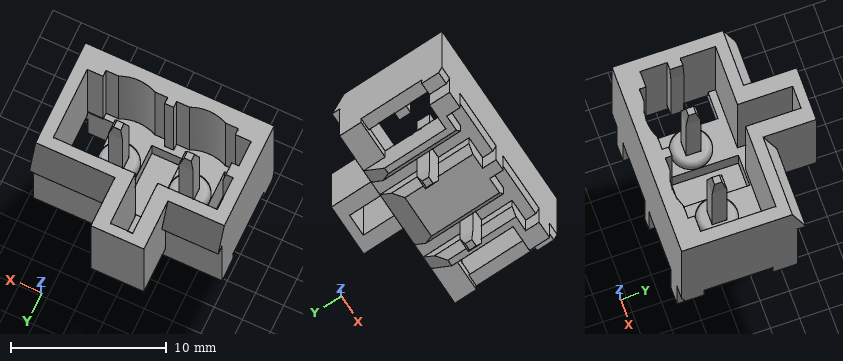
import cadquery as cq


width = 13.4
height = 11.99
back_y = 7.9
floor_bottom = 2.55
floor_top = 4.0
side_wall = 0.89
cavity_front_y = 1.6
cavity_back_y = 6.74
cavity_half_width = width / 2 - side_wall

pin_pitch = 5.01
pin_y = 3.9
pin_side = 1.0
pin_tip_side = 0.51
pin_taper_length = 0.89
pin_top = 11.07
total_height = 15.9
pin_bottom = height - total_height
pin_positions = [-pin_pitch / 2, pin_pitch / 2]

collar_diameter = 2.8
collar_round = 0.4
collar_height = 0.48

relief_y = 1.16
relief_inner_x = 0.32
relief_outer_x = 4.69
relief_arc_radius = 3.02

latch_top_y = 7.55
latch_tip_y = 8.49
latch_bottom = 9.0

key_left_x = -2.7
key_right_x = 1.07
key_back_y = 11.2
key_slot_left_x = -1.59
key_slot_right_x = 0.0
key_slot_back_y = 10.51

tab_length = 0.7
tab_width = 0.89
tab_chamfer_length = 0.19
tab_chamfer_height = 1.27

window_inner_x = 3.91
window_front_y = 1.56
window_back_y = 6.23
notch_top = 3.39
pocket_width = 2.18
pocket_front_y = 1.91
pocket_back_y = 6.63

chamfer_depth = 0.25
chamfer_height = 0.78
base_front_y = 1.03
base_back_y = 6.28
end_foot_width = 1.22
middle_foot_width = 0.83
channel_mouth_width = 1.92
channel_taper_height = 1.15


def box(x_min, x_max, y_min, y_max, z_min, z_max):
    """Block between two opposite corners."""
    size = (x_max - x_min, y_max - y_min, z_max - z_min)
    return cq.Workplane("XY").box(*size, centered=False).translate((x_min, y_min, z_min))


def side_profile(points, x_min, x_max):
    """Outline in (Y, Z), extruded along X."""
    return cq.Workplane("YZ").workplane(offset=x_min).polyline(points).close().extrude(x_max - x_min)


def make_shell():
    """Outer block with the latch ridge and the chamfered lower front edge."""
    profile = [
        (chamfer_depth, floor_bottom),
        (back_y, floor_bottom),
        (back_y, latch_bottom),
        (latch_tip_y, latch_bottom),
        (latch_top_y, height),
        (0, height),
        (0, floor_bottom + chamfer_height),
    ]
    return side_profile(profile, -width / 2, width / 2)


def make_key_box():
    """Solid block of the key box, which the cavity later opens with a slot."""
    return box(key_left_x, key_right_x, cavity_back_y, key_back_y, floor_top, height)


def make_base():
    """Middle block with a sloping back below the floor, and a front strip between the end feet."""
    profile = [
        (base_front_y, 0),
        (base_back_y, 0),
        (back_y, floor_bottom),
        (base_front_y, floor_bottom),
    ]
    block = side_profile(profile, -window_inner_x, window_inner_x)
    strip = box(-cavity_half_width, cavity_half_width, base_front_y, window_front_y, 0, floor_bottom)
    return block.union(strip)


def make_pin_channel(x):
    """Groove under the floor along Y, as wide as the pin and flared at its mouth."""
    half_mouth = channel_mouth_width / 2
    half_pin = pin_side / 2
    outline = [
        (x - half_mouth, 0),
        (x + half_mouth, 0),
        (x + half_pin, channel_taper_height),
        (x + half_pin, floor_bottom),
        (x - half_pin, floor_bottom),
        (x - half_pin, channel_taper_height),
    ]
    return cq.Workplane("XZ").polyline(outline).close().extrude(-back_y)


def make_feet():
    """Three feet flush with the front wall, as deep as the strip in front of the windows."""
    foot_top = floor_bottom + chamfer_height
    half_middle = middle_foot_width / 2
    end_inner_x = cavity_half_width - end_foot_width
    spans = [
        (-cavity_half_width, -end_inner_x),
        (-half_middle, half_middle),
        (end_inner_x, cavity_half_width),
    ]
    feet = cq.Workplane("XY")
    for x_min, x_max in spans:
        feet = feet.add(box(x_min, x_max, 0, window_front_y, 0, foot_top))
    return feet.combine()


def make_cavity():
    """Open space inside the shell, with the reliefs in the front wall and the key slot."""
    cavity = box(-cavity_half_width, cavity_half_width, cavity_front_y, cavity_back_y, floor_top, height)
    depth = height - floor_top
    for x in pin_positions:
        side = 1 if x > 0 else -1
        x_min, x_max = sorted([side * relief_inner_x, side * relief_outer_x])
        cavity = cavity.union(box(x_min, x_max, relief_y, cavity_front_y, floor_top, height))
        arc = cq.Workplane("XY", origin=(x, pin_y, floor_top)).circle(relief_arc_radius).extrude(depth)
        front_zone = box(x_min, x_max, 0, cavity_front_y, floor_top, height)
        cavity = cavity.union(arc.intersect(front_zone))
    slot = box(key_slot_left_x, key_slot_right_x, cavity_front_y, key_slot_back_y, floor_top, height)
    return cavity.union(slot)


def make_window(side):
    """Opening through the floor at one end, with the notch below the side wall."""
    x_min, x_max = sorted([side * window_inner_x, side * cavity_half_width])
    window = box(x_min, x_max, window_front_y, window_back_y, 0, floor_top)
    x_min, x_max = sorted([side * window_inner_x, side * width / 2])
    notch = box(x_min, x_max, window_front_y, window_back_y, 0, notch_top)
    return window.union(notch)


def make_floor_pocket():
    """Recess in the floor between the two pins."""
    half = pocket_width / 2
    return box(-half, half, pocket_front_y, pocket_back_y, floor_bottom, floor_top)


def make_collar(x):
    """Round collar standing on the floor, with a rounded rim."""
    collar = cq.Workplane("XY", origin=(x, pin_y, floor_bottom)).circle(collar_diameter / 2)
    collar = collar.extrude(floor_top + collar_height - floor_bottom)
    return collar.faces(">Z").edges().fillet(collar_round)


def make_tab():
    """Tab on the left cavity wall, with its inner top edge chamfered."""
    root_x = -cavity_half_width - side_wall / 2
    tip_x = tab_length - cavity_half_width
    outline = [
        (root_x, floor_top),
        (tip_x, floor_top),
        (tip_x, height - tab_chamfer_height),
        (tip_x - tab_chamfer_length, height),
        (root_x, height),
    ]
    tab = cq.Workplane("XZ", origin=(0, pin_y, 0)).polyline(outline).close()
    return tab.extrude(tab_width / 2, both=True)


def make_pin_hole(x):
    """Square hole for a pin through the floor and the collar."""
    half = pin_side / 2
    return box(x - half, x + half, pin_y - half, pin_y + half, 0, height)


def make_housing():
    """Housing with its cavity, floor openings, tab, collars and pin holes."""
    body = make_shell().union(make_key_box()).union(make_base()).union(make_feet())
    body = body.cut(make_cavity()).cut(make_floor_pocket())
    for side in (-1, 1):
        body = body.cut(make_window(side))
    body = body.union(make_tab())
    for x in pin_positions:
        body = body.cut(make_pin_channel(x)).union(make_collar(x)).cut(make_pin_hole(x))
    return body


def make_taper(x, z, direction):
    """Pyramid end of a pin, starting at height z and pointing up (1) or down (-1)."""
    taper = cq.Workplane("XY", origin=(x, pin_y, z)).rect(pin_side, pin_side)
    taper = taper.workplane(offset=direction * pin_taper_length)
    return taper.rect(pin_tip_side, pin_tip_side).loft(combine=True)


def make_pin(x):
    """Square pin tapered at both ends."""
    shaft_bottom = pin_bottom + pin_taper_length
    shaft_top = pin_top - pin_taper_length
    shaft = cq.Workplane("XY", origin=(x, pin_y, shaft_bottom)).rect(pin_side, pin_side)
    shaft = shaft.extrude(shaft_top - shaft_bottom)
    return shaft.union(make_taper(x, shaft_top, 1)).union(make_taper(x, shaft_bottom, -1))


housing = make_housing()
pins = [make_pin(x) for x in pin_positions]
result = cq.Compound.makeCompound([housing.val(), *[pin.val() for pin in pins]])